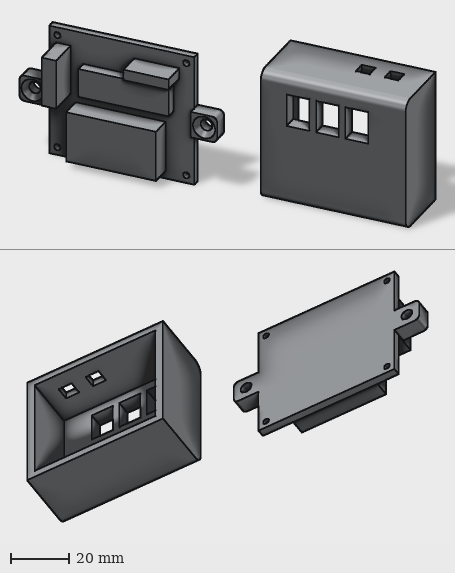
import cadquery as cq

BODY_WIDTH = 55.0
BODY_HEIGHT = 50.0
TAB_LENGTH = 10.0
TOTAL_WIDTH = 145.0
BOARD_LEFT = TAB_LENGTH
BOARD_RIGHT = BOARD_LEFT + BODY_WIDTH
HOUSING_LEFT = TOTAL_WIDTH - BODY_WIDTH

BOARD_THICKNESS = 2.9
BOARD_HOLE_DIAMETER = 2.3
BOARD_HOLE_INSET = 3.0

TAB_HEIGHT = 10.0
TAB_THICKNESS = 5.8
TAB_CORNER_RADIUS = 2.0
TAB_HOLE_DIAMETER = 4.4
TAB_SINK_DIAMETER = 8.4
TAB_SINK_ANGLE = 90.0

COMPONENTS = {
    "left connector": (2.6, 0.1, 5.5, 18.8, 12.0),
    "upper connector": (32.2, 15.4, 17.1, 4.0, 9.0),
    "display": (12.9, 2.0, 34.2, 10.9, 4.0),
    "relay block": (10.0, -22.0, 34.1, 19.3, 8.0),
}

HOUSING_DEPTH = 25.0
HOUSING_EDGE_RADIUS = 3.9
SIDE_WALL = 3.0
FRONT_WALL = 5.5

WINDOW_COUNT = 3
WINDOW_WIDTH = 8.5
WINDOW_HEIGHT = 12.3
WINDOW_PITCH = 11.2
WINDOW_OFFSET = 9.9
WINDOW_BOTTOM = 6.0
OPENING_COUNT = 2
OPENING_WIDTH = 5.2
OPENING_DEPTH = 5.0
OPENING_PITCH = 10.9
OPENING_OFFSET = 29.7
OPENING_FRONT = 14.0


def block(x, y, z, width, depth, height):
    """Box given by its lowest corner and its X, Y and Z sizes."""
    return cq.Workplane("XY").box(width, depth, height, centered=False).translate((x, y, z))


def front_plane(y):
    """Workplane at the given Y that looks toward -Y, with local x along X and local y along Z."""
    return cq.Workplane("XZ", origin=(0, y, 0))


def make_tab(left, outer_side):
    """Mounting tab with rounded outer corners and a countersunk hole."""
    front = BOARD_THICKNESS - TAB_THICKNESS
    tab = block(left, front, -TAB_HEIGHT / 2, TAB_LENGTH, TAB_THICKNESS, TAB_HEIGHT)
    tab = tab.faces(outer_side).edges("|Y").fillet(TAB_CORNER_RADIUS)
    hole_x = left + TAB_LENGTH / 2
    return (
        front_plane(front)
        .add(tab)
        .center(hole_x, 0)
        .cskHole(TAB_HOLE_DIAMETER, TAB_SINK_DIAMETER, TAB_SINK_ANGLE)
    )


def make_board():
    """Circuit board with its components and two mounting tabs, all one solid."""
    board = block(BOARD_LEFT, 0, -BODY_HEIGHT / 2, BODY_WIDTH, BOARD_THICKNESS, BODY_HEIGHT)
    holes = (
        front_plane(BOARD_THICKNESS)
        .center(BOARD_LEFT + BODY_WIDTH / 2, 0)
        .rect(BODY_WIDTH - 2 * BOARD_HOLE_INSET, BODY_HEIGHT - 2 * BOARD_HOLE_INSET, forConstruction=True)
        .vertices()
        .circle(BOARD_HOLE_DIAMETER / 2)
        .extrude(BOARD_THICKNESS)
    )
    board = board.cut(holes)
    for offset, bottom, width, height, projection in COMPONENTS.values():
        board = board.union(block(BOARD_LEFT + offset, -projection, bottom, width, projection, height))
    board = board.union(make_tab(0, "<X"))
    return board.union(make_tab(BOARD_RIGHT, ">X"))


def make_housing():
    """Box open at the back, with windows through the front and openings through the top."""
    housing = block(HOUSING_LEFT, 0, -BODY_HEIGHT / 2, BODY_WIDTH, HOUSING_DEPTH, BODY_HEIGHT)
    housing = housing.faces("<Y").edges("|X").fillet(HOUSING_EDGE_RADIUS)
    housing = housing.cut(
        block(
            HOUSING_LEFT + SIDE_WALL,
            FRONT_WALL,
            SIDE_WALL - BODY_HEIGHT / 2,
            BODY_WIDTH - 2 * SIDE_WALL,
            HOUSING_DEPTH - FRONT_WALL,
            BODY_HEIGHT - 2 * SIDE_WALL,
        )
    )
    for i in range(WINDOW_COUNT):
        left = HOUSING_LEFT + WINDOW_OFFSET + i * WINDOW_PITCH
        housing = housing.cut(block(left, 0, WINDOW_BOTTOM, WINDOW_WIDTH, FRONT_WALL, WINDOW_HEIGHT))
    for i in range(OPENING_COUNT):
        left = HOUSING_LEFT + OPENING_OFFSET + i * OPENING_PITCH
        bottom = BODY_HEIGHT / 2 - SIDE_WALL
        housing = housing.cut(block(left, OPENING_FRONT, bottom, OPENING_WIDTH, OPENING_DEPTH, SIDE_WALL))
    return housing


board = make_board()
housing = make_housing()
result = cq.Compound.makeCompound([board.val(), housing.val()])